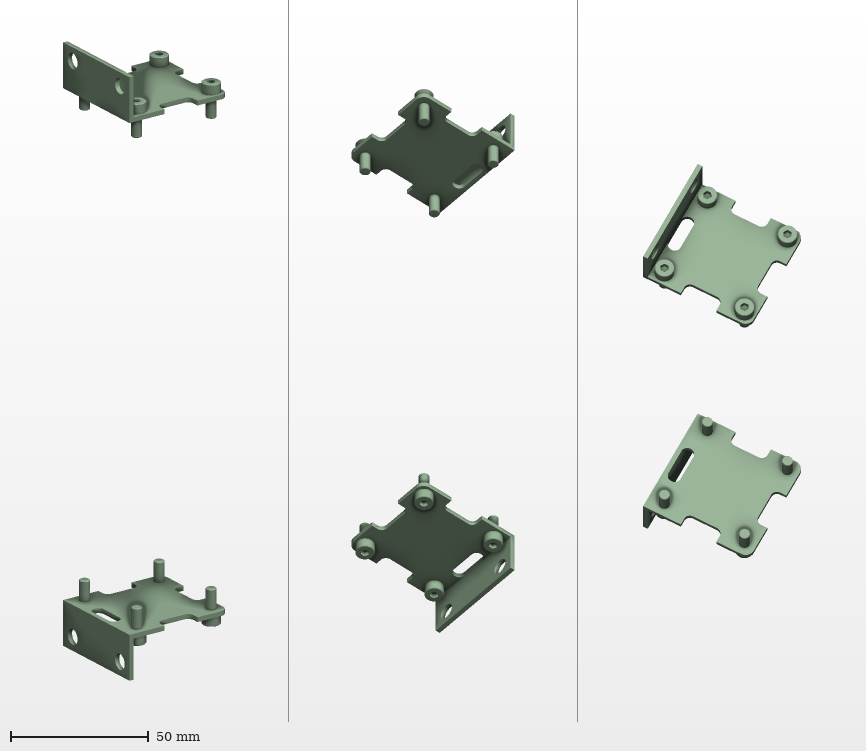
import cadquery as cq

OVERALL_HEIGHT = 236.0

WIDTH = 42.0
SHEET = 2.0
PLATE_DEPTH = 42.0
FLANGE_HEIGHT = 18.0
CORNER_RADIUS = 3.3

NOTCH_LENGTH = 14.6
NOTCH_DEPTH = 5.0
NOTCH_RADIUS = 2.4

MOUNT_SPACING = 30.0
MOUNT_DIAMETER = 6.1
MOUNT_EDGE_DISTANCE = 5.5

SCREW_SPACING = 33.0
SHANK_DIAMETER = 4.0
SHANK_LENGTH = 8.0
SHANK_CHAMFER = 0.2
HEAD_DIAMETER = 7.0
HEAD_HEIGHT = 4.0
HEAD_CHAMFER = 0.2
SOCKET_ACROSS_CORNERS = 3.3
SOCKET_DEPTH = 2.0
SOCKET_TURN = 90

FLANGE_INNER_Y = -PLATE_DEPTH / 2
FLANGE_OUTER_Y = FLANGE_INNER_Y - SHEET


def block(x_min, x_max, y_min, y_max, height):
    """Upright box standing on the plane Z = 0."""
    return cq.Workplane("XY").box(
        x_max - x_min, y_max - y_min, height, centered=False
    ).translate((x_min, y_min, 0))


def make_plate():
    """Square plate with rounded rear corners, three edge notches and a slot along the bend."""
    half_width = WIDTH / 2
    half_depth = PLATE_DEPTH / 2
    half_notch = NOTCH_LENGTH / 2
    plate = block(-half_width, half_width, FLANGE_OUTER_Y, half_depth, SHEET)
    plate = plate.edges("|Z and >Y").fillet(CORNER_RADIUS)

    rear_notch = block(-half_notch, half_notch, half_depth - NOTCH_DEPTH, half_depth, SHEET)
    plate = plate.cut(rear_notch.edges("|Z and <Y").fillet(NOTCH_RADIUS))

    left_notch = block(-half_width, NOTCH_DEPTH - half_width, -half_notch, half_notch, SHEET)
    left_notch = left_notch.edges("|Z and >X").fillet(NOTCH_RADIUS)
    plate = plate.cut(left_notch).cut(left_notch.mirror("YZ"))

    slot = block(-half_notch, half_notch, FLANGE_INNER_Y, FLANGE_INNER_Y + NOTCH_DEPTH, SHEET)
    return plate.cut(slot.edges("|Z").fillet(NOTCH_RADIUS))


def make_flange():
    """Upright flange along the front edge, with two mounting holes."""
    flange = block(-WIDTH / 2, WIDTH / 2, FLANGE_OUTER_Y, FLANGE_INNER_Y, FLANGE_HEIGHT)
    holes = (
        cq.Workplane("XZ", origin=(0, FLANGE_INNER_Y, FLANGE_HEIGHT - MOUNT_EDGE_DISTANCE))
        .rarray(MOUNT_SPACING, 2.4, 2, 1)
        .circle(MOUNT_DIAMETER / 2)
        .extrude(SHEET)
    )
    return flange.cut(holes)


def make_screw():
    """Hex-socket screw with its head on top of the plate and its shank pointing down."""
    shank = cq.Workplane("XY", origin=(0, 0, -SHANK_LENGTH)).circle(SHANK_DIAMETER / 2)
    shank = shank.extrude(SHANK_LENGTH + SHEET).faces("<Z").chamfer(SHANK_CHAMFER)
    head = cq.Workplane("XY", origin=(0, 0, SHEET)).circle(HEAD_DIAMETER / 2).extrude(HEAD_HEIGHT)
    head = head.faces(">Z").chamfer(HEAD_CHAMFER)
    socket = (
        cq.Workplane("XY", origin=(0, 0, SHEET + HEAD_HEIGHT - SOCKET_DEPTH))
        .polygon(6, SOCKET_ACROSS_CORNERS)
        .extrude(SOCKET_DEPTH)
        .rotate((0, 0, 0), (0, 0, 1), SOCKET_TURN)
    )
    return shank.union(head).cut(socket)


def make_bracket():
    """Bracket with its four screws, as one solid whose plate underside is at Z = 0."""
    bracket = make_plate().union(make_flange())
    screw = make_screw()
    for x in (-SCREW_SPACING / 2, SCREW_SPACING / 2):
        for y in (-SCREW_SPACING / 2, SCREW_SPACING / 2):
            bracket = bracket.union(screw.translate((x, y, 0)))
    return bracket


upper_bracket = make_bracket().translate((0, 0, OVERALL_HEIGHT / 2 - FLANGE_HEIGHT))
lower_bracket = upper_bracket.mirror("XY")

result = cq.Compound.makeCompound([upper_bracket.val(), lower_bracket.val()])